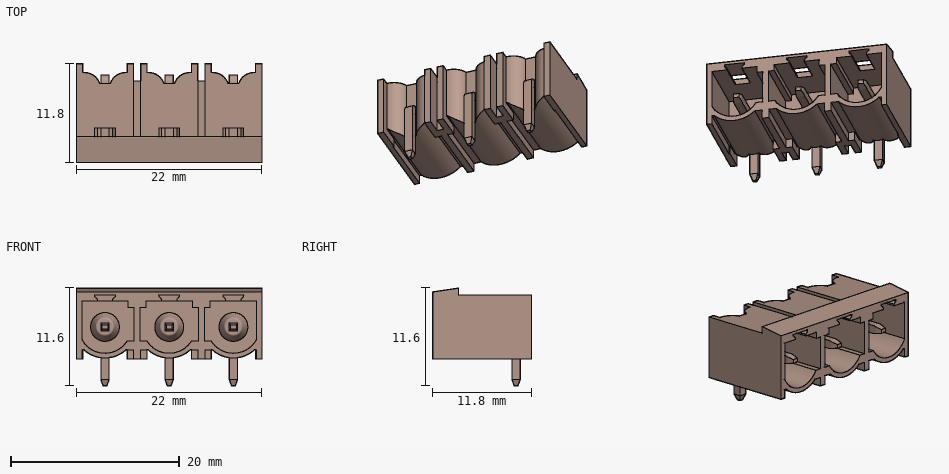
import cadquery as cq
import math


pole_count = 3
pitch = 7.62
pole_width = 6.8
pole_places = [(i - (pole_count - 1) / 2) * pitch for i in range(pole_count)]
gap_places = [x + pitch / 2 for x in pole_places[:-1]]
gap_width = pitch - pole_width

housing_width = (pole_count - 1) * pitch + pole_width
housing_depth = 11.75
roof_z = 7.6

lip_top_z = 8.4
lip_front_z = 7.97
lip_depth = 3.08
lip_land = 0.2

pin_axis_z = 3.8
cavity_depth = 8.4
cavity_top_z = 6.9
end_wall = 0.65
web = 0.72
cavity_half = pole_width / 2 - end_wall
widening_half = (pitch - web) / 2
widening_bottom_z = 2.16
widening_top_z = 6.14
trough_axis_z = pin_axis_z
trough_radius = 3.12
trough_wall = 0.57
trough_outer_radius = trough_radius + trough_wall

relief_height = 1.08
rear_wall = 0.78
rear_half = pole_width / 2 - rear_wall

groove_depth = 4.1
groove_top_half = 1.22
groove_neck_half = 0.91
groove_flank_top_z = roof_z - 0.18
groove_flank_bottom_z = 7.1

gap_floor_z = cavity_top_z
gap_rear_y = 9.7
rear_face_y = 9.4
lobe_rear_y = 10.7
throat_half = 0.63
lobe_axis_x = 2.45
lobe_rise = lobe_rear_y - rear_face_y
lobe_run = lobe_axis_x - throat_half
lobe_radius = (lobe_run**2 + lobe_rise**2) / (2 * lobe_rise)

pin_size = 1.0
pin_front_y = 0.86
pin_rear_y = rear_face_y + pin_size
pin_bottom_z = -3.2
front_tip_width = 0.68
front_tip_height = 0.47
front_side_taper = 0.75
front_top_taper = 1.11
leg_tip_size = 0.45
leg_taper = 0.75

collar_length = 1.5
collar_base_radius = 1.71
collar_tip_radius = 1.04
collar_rounding = 0.24


def block(x_range, y_range, z_range):
    """Axis-aligned box between the given limits."""
    (x0, x1), (y0, y1), (z0, z1) = x_range, y_range, z_range
    return cq.Workplane("XY").box(x1 - x0, y1 - y0, z1 - z0, centered=False).translate((x0, y0, z0))


def rod(x, radius, length):
    """Cylinder on the trough axis of the pole at x, starting at the front face."""
    return cq.Workplane("XZ").center(x, trough_axis_z).circle(radius).extrude(-length)


def shell_blank():
    """Housing side profile, with the sloped lip, swept over the full width."""
    profile = [
        (0, 0),
        (housing_depth, 0),
        (housing_depth, roof_z),
        (lip_depth, roof_z),
        (lip_depth, lip_top_z),
        (lip_depth - lip_land, lip_top_z),
        (0, lip_front_z),
    ]
    return cq.Workplane("YZ").polyline(profile).close().extrude(housing_width / 2, both=True)


def side_limits(x, at_end_wall, at_web):
    """X limits reaching a different distance towards an end wall than towards a web."""
    left = at_end_wall if x == pole_places[0] else at_web
    right = at_end_wall if x == pole_places[-1] else at_web
    return x - left, x + right


def cavity(x):
    """Socket space: round trough, straight upper part and a widening towards each web."""
    depth = (0, cavity_depth)
    middle = (x - cavity_half, x + cavity_half)
    trough = rod(x, trough_radius, cavity_depth).intersect(block(middle, depth, (0, trough_axis_z)))
    upper = block(middle, depth, (trough_axis_z, cavity_top_z))
    widened = side_limits(x, 0, widening_half)
    widening = block(widened, depth, (widening_bottom_z, widening_top_z))
    return trough.union(upper).union(widening)


def underside_relief(x):
    """Space below the pole, leaving the trough wall and the legs; narrower at the rear."""
    height = (0, relief_height)
    between_legs = side_limits(x, cavity_half, pole_width / 2)
    front = block(between_legs, (0, cavity_depth), height)
    rear = block((x - rear_half, x + rear_half), (cavity_depth, housing_depth), height)
    return front.union(rear).cut(rod(x, trough_outer_radius, housing_depth))


def coding_groove(x):
    """Dovetail groove running back from the front face between cavity and roof."""
    half = [
        (groove_neck_half, cavity_top_z),
        (groove_neck_half, groove_flank_bottom_z),
        (groove_top_half, groove_flank_top_z),
        (groove_top_half, roof_z),
    ]
    mirrored = [(-across, z) for across, z in reversed(half)]
    outline = [(x + across, z) for across, z in half + mirrored]
    return cq.Workplane("XZ").polyline(outline).close().extrude(-groove_depth)


def rear_recess(x):
    """Full-height recess behind the pole, between two rounded lobes with a throat for the pin."""
    lobe_axis_y = lobe_rear_y - lobe_radius
    throat_angle = math.atan2(rear_face_y - lobe_axis_y, lobe_run)
    middle_angle = (throat_angle + math.pi / 2) / 2
    mid_x = lobe_axis_x - lobe_radius * math.cos(middle_angle)
    mid_y = lobe_axis_y + lobe_radius * math.sin(middle_angle)
    return (
        cq.Workplane("XY")
        .moveTo(x - throat_half, rear_face_y)
        .lineTo(x + throat_half, rear_face_y)
        .threePointArc((x + mid_x, mid_y), (x + lobe_axis_x, lobe_rear_y))
        .lineTo(x + rear_half, lobe_rear_y)
        .lineTo(x + rear_half, housing_depth)
        .lineTo(x - rear_half, housing_depth)
        .lineTo(x - rear_half, lobe_rear_y)
        .lineTo(x - lobe_axis_x, lobe_rear_y)
        .threePointArc((x - mid_x, mid_y), (x - throat_half, rear_face_y))
        .close()
        .extrude(roof_z)
    )


def pole_gap(x):
    """Gap between neighbouring poles: shallow along the roof, open to the bottom at the rear."""
    across = (x - gap_width / 2, x + gap_width / 2)
    channel = block(across, (lip_depth, housing_depth), (gap_floor_z, roof_z))
    opening = block(across, (gap_rear_y, housing_depth), (0, roof_z))
    return channel.union(opening)


def pin_collar(x):
    """Cone with a rounded tip, standing forward from the back wall of the cavity."""
    cone = cq.Solid.makeCone(
        collar_base_radius,
        collar_tip_radius,
        collar_length,
        pnt=cq.Vector(x, cavity_depth, pin_axis_z),
        dir=cq.Vector(0, -1, 0),
    )
    return cq.Workplane(cone).faces("<Y").edges().fillet(collar_rounding)


def contact_pin(x):
    """Square L-shaped pin with a rounded outer bend and both ends tapered."""
    half = pin_size / 2
    top_z = pin_axis_z + half
    leg_y = pin_rear_y - half
    taper_z = pin_bottom_z + leg_taper

    side = (
        cq.Workplane("YZ")
        .moveTo(pin_front_y, pin_axis_z - front_tip_height / 2)
        .lineTo(pin_front_y + front_top_taper, pin_axis_z - half)
        .lineTo(rear_face_y, pin_axis_z - half)
        .lineTo(rear_face_y, taper_z)
        .lineTo(leg_y - leg_tip_size / 2, pin_bottom_z)
        .lineTo(leg_y + leg_tip_size / 2, pin_bottom_z)
        .lineTo(pin_rear_y, taper_z)
        .lineTo(pin_rear_y, top_z - pin_size)
        .radiusArc((pin_rear_y - pin_size, top_z), -pin_size)
        .lineTo(pin_front_y + front_top_taper, top_z)
        .lineTo(pin_front_y, pin_axis_z + front_tip_height / 2)
        .close()
        .extrude(half, both=True)
    )
    from_above = (
        cq.Workplane("XY")
        .polyline([
            (-front_tip_width / 2, pin_front_y),
            (front_tip_width / 2, pin_front_y),
            (half, pin_front_y + front_side_taper),
            (half, pin_rear_y),
            (-half, pin_rear_y),
            (-half, pin_front_y + front_side_taper),
        ])
        .close()
        .extrude(top_z - pin_bottom_z)
        .translate((0, 0, pin_bottom_z))
    )
    from_front = (
        cq.Workplane("XZ")
        .polyline([
            (-leg_tip_size / 2, pin_bottom_z),
            (leg_tip_size / 2, pin_bottom_z),
            (half, taper_z),
            (half, top_z),
            (-half, top_z),
            (-half, taper_z),
        ])
        .close()
        .extrude(-pin_rear_y)
    )
    return side.intersect(from_above).intersect(from_front).translate((x, 0, 0))


def build_housing(contacts):
    """Housing with all pole features and a close-fitting hole for each contact pin."""
    body = shell_blank()
    for x in gap_places:
        body = body.cut(pole_gap(x))
    for x in pole_places:
        body = body.cut(cavity(x)).cut(underside_relief(x))
        body = body.cut(coding_groove(x)).cut(rear_recess(x))
        body = body.union(pin_collar(x))
    for contact in contacts:
        body = body.cut(contact)
    return body


pins = [contact_pin(x) for x in pole_places]
housing = build_housing(pins)

result = cq.Compound.makeCompound([housing.val(), *[pin.val() for pin in pins]])